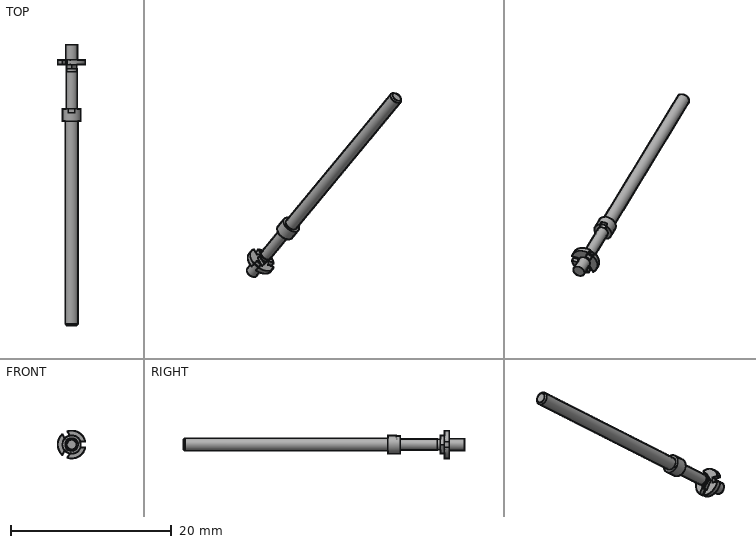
import math

import cadquery as cq

TOTAL_LENGTH = 35.0

TIP_CHAMFER = 0.2
COLLAR_LENGTH = 1.55
FLANGE_THICKNESS = 0.6
TAIL_LENGTH = 1.9
HUB_LENGTH = 0.5
RELIEF_LENGTH = 0.4
COLLAR_BACK_FROM_END = 8.0

BARREL_DIAMETER = 1.6
COLLAR_DIAMETER = 2.3
NECK_DIAMETER = 1.4
RELIEF_DIAMETER = 1.34
TAIL_DIAMETER = 1.5
FLANGE_DIAMETER = 3.5

SLOT_COUNT = 3
SLOT_WIDTH = 0.7
SLOT_FLOOR_RADIUS = 0.9

HUB_HALF_HEIGHT = 1.13
HUB_TIP_HALF_ANGLE = 30.0
HUB_HALF_WIDTH = HUB_HALF_HEIGHT * math.tan(math.radians(HUB_TIP_HALF_ANGLE))

NOTCH_WIDTH = 0.8
NOTCH_LENGTH = 0.5

COLLAR_BACK = TOTAL_LENGTH - COLLAR_BACK_FROM_END
COLLAR_FRONT = COLLAR_BACK - COLLAR_LENGTH
FLANGE_BACK = TOTAL_LENGTH - TAIL_LENGTH
FLANGE_FRONT = FLANGE_BACK - FLANGE_THICKNESS
HUB_FRONT = FLANGE_FRONT - HUB_LENGTH
RELIEF_FRONT = HUB_FRONT - RELIEF_LENGTH


def section_plane(y):
    """Plane across the axis at y: local x is +X, local y is +Z, extrusion runs to -Y."""
    return cq.Workplane("XZ", origin=(0, y, 0))


def rod(diameter, front, back):
    return section_plane(back).circle(diameter / 2).extrude(back - front)


def make_flange():
    flange = rod(FLANGE_DIAMETER, FLANGE_FRONT, FLANGE_BACK)
    slot_depth = FLANGE_DIAMETER / 2
    for index in range(SLOT_COUNT):
        slot = (
            section_plane(FLANGE_BACK)
            .center(SLOT_FLOOR_RADIUS + slot_depth / 2, 0)
            .rect(slot_depth, SLOT_WIDTH)
            .extrude(FLANGE_THICKNESS)
            .rotate((0, 0, 0), (0, 1, 0), index * 360 / SLOT_COUNT)
        )
        flange = flange.cut(slot)
    return flange


def make_hub():
    corners = [
        (HUB_HALF_WIDTH, 0),
        (0, HUB_HALF_HEIGHT),
        (-HUB_HALF_WIDTH, 0),
        (0, -HUB_HALF_HEIGHT),
    ]
    return section_plane(FLANGE_FRONT).polyline(corners).close().extrude(HUB_LENGTH)


def make_collar():
    collar = rod(COLLAR_DIAMETER, COLLAR_FRONT, COLLAR_BACK)
    notch_height = (COLLAR_DIAMETER - NECK_DIAMETER) / 2
    notch = (
        section_plane(COLLAR_BACK)
        .center(0, NECK_DIAMETER / 2 + notch_height / 2)
        .rect(NOTCH_WIDTH, notch_height)
        .extrude(NOTCH_LENGTH)
    )
    return collar.cut(notch)


def make_barrel():
    barrel = rod(BARREL_DIAMETER, 0, COLLAR_FRONT)
    return barrel.faces("<Y").edges().chamfer(TIP_CHAMFER)


neck = rod(NECK_DIAMETER, COLLAR_FRONT, RELIEF_FRONT)
relief = rod(RELIEF_DIAMETER, RELIEF_FRONT, HUB_FRONT)
tail = rod(TAIL_DIAMETER, FLANGE_BACK, TOTAL_LENGTH)

result = make_barrel()
for section in (make_collar(), neck, relief, make_hub(), make_flange(), tail):
    result = result.union(section)